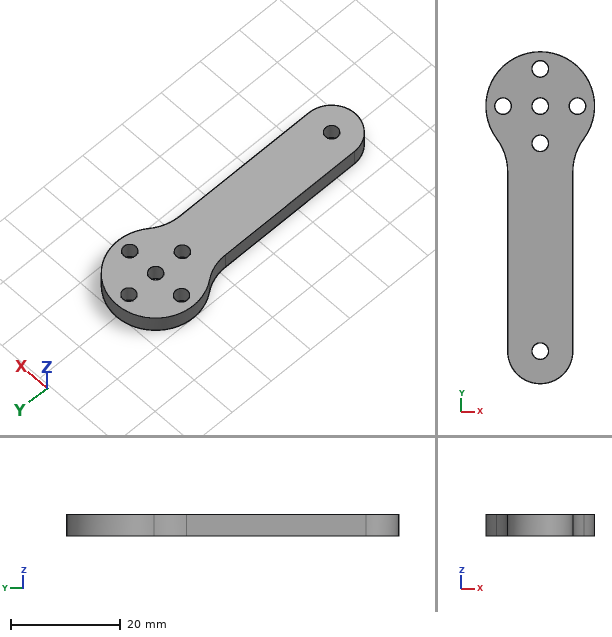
import cadquery as cq
import math

total_length = 60.95
thickness = 4.0
head_radius = 10.0
arm_width = 12.0
neck_radius = head_radius
hole_diameter = 3.0
bolt_circle_radius = 6.8
bolt_count = 4

tip_radius = arm_width / 2
tip_y = -(total_length - head_radius - tip_radius)

neck_center_x = tip_radius + neck_radius
center_distance = head_radius + neck_radius
neck_center_y = -math.sqrt(center_distance**2 - neck_center_x**2)
head_join_x = neck_center_x * head_radius / center_distance
head_join_y = neck_center_y * head_radius / center_distance

head_join_angle = math.atan2(-neck_center_y, neck_center_x)
neck_mid_angle = head_join_angle / 2
neck_mid_x = neck_center_x - neck_radius * math.cos(neck_mid_angle)
neck_mid_y = neck_center_y + neck_radius * math.sin(neck_mid_angle)


def make_lever():
    """Flat plate with a round head, a blended neck and a rounded tip."""
    return (
        cq.Workplane("XY")
        .moveTo(tip_radius, tip_y)
        .lineTo(tip_radius, neck_center_y)
        .threePointArc((neck_mid_x, neck_mid_y), (head_join_x, head_join_y))
        .threePointArc((0, head_radius), (-head_join_x, head_join_y))
        .threePointArc((-neck_mid_x, neck_mid_y), (-tip_radius, neck_center_y))
        .lineTo(-tip_radius, tip_y)
        .threePointArc((0, tip_y - tip_radius), (tip_radius, tip_y))
        .close()
        .extrude(thickness)
    )


def make_hole_cutters():
    """Through holes: head centre, tip centre and the ring around the head."""
    hole_radius = hole_diameter / 2
    center_holes = (
        cq.Workplane("XY")
        .pushPoints([(0, 0), (0, tip_y)])
        .circle(hole_radius)
        .extrude(thickness)
    )
    ring_holes = (
        cq.Workplane("XY")
        .polarArray(bolt_circle_radius, 0, 360, bolt_count)
        .circle(hole_radius)
        .extrude(thickness)
    )
    return center_holes.add(ring_holes).combine()


result = make_lever().cut(make_hole_cutters())